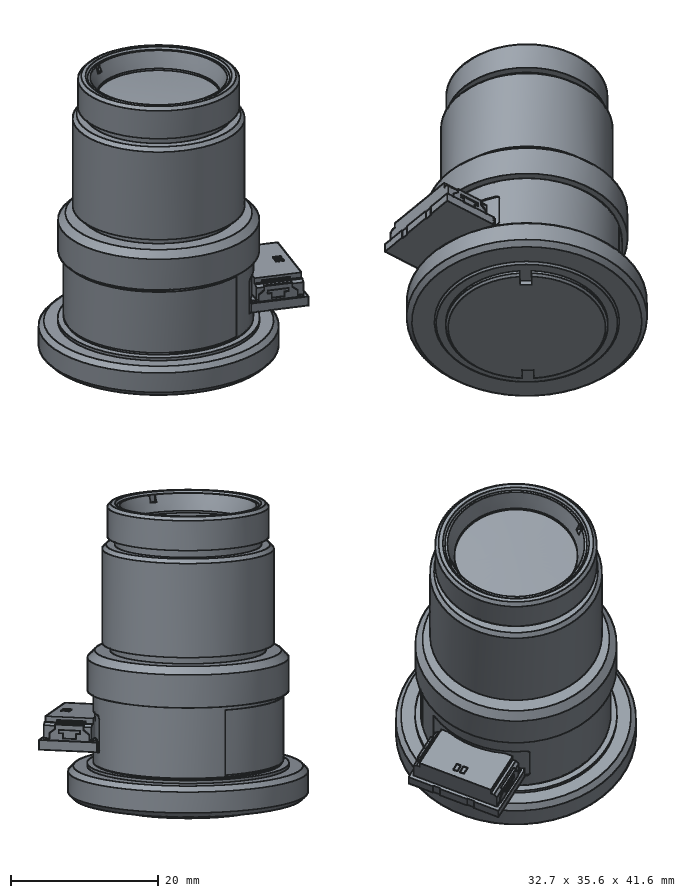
import cadquery as cq
import math

TOTAL_HEIGHT = 41.65
lip_r, lip_top, lip_chamfer = 11.05, 0.75, 0.35
step_r_low, step_r_high, step_top = 12.33, 12.58, 1.1
flange_r, flange_top, flange_chamfer = 16.345, 5.37, 0.7
ring_r, ring_top = 13.75, 5.8
core_r, core_top = 12.7, 15.82
collar_r, collar_top, collar_chamfer = 13.7, 21.35, 1.0
lower_neck_r, lower_neck_top = 10.6, 22.4
barrel_r, barrel_top, barrel_chamfer = 11.7, 35.95, 0.55
upper_neck_r, upper_neck_top = 10.0, 37.05
cap_r, cap_chamfer = 11.0, 0.45

rim_r, ledge_r, seat_r, lens_r = 9.95, 9.65, 9.33, 8.35
ledge_depth, cone_depth, lens_depth, lens_bulge = 0.3, 2.55, 2.85, 0.2

top_notch_angle, top_notch_width, top_notch_depth = 46.0, 0.9, 1.3
top_notch_r_in, top_notch_r_out = 7.9, 9.4
base_notch_angle, base_notch_width, base_notch_floor_r = -39.3, 1.6, 8.95

sleeve_r, sleeve_bottom, sleeve_top, sleeve_corner = 12.9, 5.9, 15.65, 0.3
gap_middle_angle, gap_span = 307.3, 84.0
plate_r, plate_bottom, plate_top, plate_span = 13.0, 6.2, 15.2, 180.0

board_width, board_back, board_front = 13.6, 19.215, 11.08
board_bottom, board_top = 7.9, 9.25
tongue_width = 13.32
board_notch_x, board_notch_width, board_notch_depth = 2.6, 1.05, 0.12
window_width, window_top, window_corner = 14.65, 13.05, 0.4

connector_front, connector_back = 11.95, 18.65
connector_half, shoulder_half, lid_half = 6.35, 5.87, 5.4
shoulder_low, shoulder_high, connector_top = 11.25, 11.58, 12.33
foot_half, foot_front, foot_top = 6.37, 11.25, 9.5
center_y = 15.05
panel_half = 6.45
panel_low_half, panel_high_half = 2.8, 2.0
panel_low, panel_high, panel_top = 10.2, 10.83, 11.4
tee_depth, tee_stem_half, tee_bar_half = 0.15, 0.9, 1.5
tee_bottom, tee_bar_low, tee_top = 9.55, 10.25, 10.7
groove_low, groove_high, groove_depth = 11.65, 11.85, 0.15
mark_y, mark_x, mark_width, mark_length, mark_depth = 17.07, 0.5, 0.62, 1.12, 0.12


def cylinder(radius, bottom, top):
    return cq.Workplane("XY").workplane(offset=bottom).circle(radius).extrude(top - bottom)


def block(x_range, y_range, z_range):
    size = [high - low for low, high in (x_range, y_range, z_range)]
    return cq.Workplane("XY").box(*size, centered=False).translate((x_range[0], y_range[0], z_range[0]))


def sector(middle_angle, span, bottom, top):
    """Wedge about the Z axis, reaching past every part of the body."""
    reach = 2 * flange_r
    steps = 4
    points = [(0, 0)]
    for i in range(steps + 1):
        angle = math.radians(middle_angle + span * (i / steps - 0.5))
        points.append((reach * math.cos(angle), reach * math.sin(angle)))
    return cq.Workplane("XY").workplane(offset=bottom).polyline(points).close().extrude(top - bottom)


def turned_body():
    """Revolved outline, up the outside, down into the lens seat and over the domed lens."""
    outline = [
        (0, 0),
        (lip_r - lip_chamfer, 0),
        (lip_r, lip_chamfer),
        (lip_r, lip_top),
        (step_r_low, lip_top),
        (step_r_high, step_top),
        (flange_r - flange_chamfer, step_top),
        (flange_r, step_top + flange_chamfer),
        (flange_r, flange_top - flange_chamfer),
        (flange_r - flange_chamfer, flange_top),
        (ring_r, flange_top),
        (ring_r, ring_top),
        (core_r, ring_top),
        (core_r, core_top),
        (collar_r, core_top),
        (collar_r, collar_top - collar_chamfer),
        (collar_r - collar_chamfer, collar_top),
        (lower_neck_r, collar_top),
        (lower_neck_r, lower_neck_top),
        (barrel_r, lower_neck_top),
        (barrel_r, barrel_top - barrel_chamfer),
        (barrel_r - barrel_chamfer, barrel_top),
        (upper_neck_r, barrel_top),
        (upper_neck_r, upper_neck_top),
        (cap_r, upper_neck_top),
        (cap_r, TOTAL_HEIGHT - cap_chamfer),
        (cap_r - cap_chamfer, TOTAL_HEIGHT),
        (rim_r, TOTAL_HEIGHT),
        (ledge_r, TOTAL_HEIGHT - ledge_depth),
        (seat_r, TOTAL_HEIGHT - ledge_depth),
        (lens_r, TOTAL_HEIGHT - cone_depth),
        (lens_r, TOTAL_HEIGHT - lens_depth),
    ]
    lens_edge_z = TOTAL_HEIGHT - lens_depth
    lens_sphere_r = (lens_r**2 + lens_bulge**2) / (2 * lens_bulge)
    lens_middle_r = lens_r / 2
    sphere_centre_z = lens_edge_z + lens_bulge - lens_sphere_r
    lens_middle_z = sphere_centre_z + math.sqrt(lens_sphere_r**2 - lens_middle_r**2)
    half_section = (
        cq.Workplane("XZ")
        .polyline(outline)
        .threePointArc((lens_middle_r, lens_middle_z), (0, lens_edge_z + lens_bulge))
        .close()
    )
    return half_section.revolve(360, (0, 0, 0), (0, 1, 0))


def notch_pair(angle, width, r_range, z_range):
    """Two opposite radial notches."""
    notch = block(r_range, (-width / 2, width / 2), z_range)
    first = notch.rotate((0, 0, 0), (0, 0, 1), angle)
    return first.union(first.rotate((0, 0, 0), (0, 0, 1), 180))


def sleeve():
    """Split sleeve with rounded corners at the gap and a window for the board."""
    shell = cylinder(sleeve_r, sleeve_bottom, sleeve_top).cut(cylinder(core_r, sleeve_bottom, sleeve_top))
    shell = shell.cut(sector(gap_middle_angle, gap_span, sleeve_bottom, sleeve_top))
    shell = shell.edges("%LINE").edges("not |Z").fillet(sleeve_corner)
    window = block(
        (-window_width / 2, window_width / 2), (0, 2 * sleeve_r), (board_bottom, window_top)
    ).edges("|Y").fillet(window_corner)
    return shell.cut(window)


def plate():
    """Half-round plate over the sleeve gap."""
    shell = cylinder(plate_r, plate_bottom, plate_top).cut(cylinder(core_r, plate_bottom, plate_top))
    return shell.intersect(sector(gap_middle_angle, plate_span, plate_bottom, plate_top))


def board():
    """Circuit board with a narrower tongue running into the core."""
    half = board_width / 2
    slab = block((-half, half), (board_front, board_back), (board_bottom, board_top))
    for x in (-board_notch_x, board_notch_x):
        slab = slab.cut(
            block(
                (x - board_notch_width / 2, x + board_notch_width / 2),
                (board_back - board_notch_depth, board_back),
                (board_bottom, board_top),
            )
        )
    tongue = block((-tongue_width / 2, tongue_width / 2), (core_r / 2, board_front), (board_bottom, board_top))
    return slab.union(tongue)


def side_profile(points, half_width):
    """Extrude a (Y, Z) outline symmetrically along X."""
    return cq.Workplane("YZ").polyline(points).close().extrude(half_width, both=True)


def connector():
    """Stepped housing with a side panel, a tee recess and a groove on each side."""
    section = [
        (connector_half, board_top),
        (connector_half, shoulder_low),
        (shoulder_half, shoulder_high),
        (lid_half, shoulder_high),
        (lid_half, connector_top),
    ]
    mirrored = [(-x, z) for x, z in reversed(section)]
    housing = (
        cq.Workplane("XZ", origin=(0, connector_back, 0))
        .polyline(section + mirrored)
        .close()
        .extrude(connector_back - connector_front)
    )
    foot = block((-foot_half, foot_half), (foot_front, connector_back), (board_top, foot_top))

    half_panel = [
        (panel_low_half, board_top),
        (panel_low_half, panel_low),
        (panel_high_half, panel_high),
        (panel_high_half, panel_top),
    ]
    half_tee = [
        (tee_stem_half, tee_bottom),
        (tee_stem_half, tee_bar_low),
        (tee_bar_half, tee_bar_low),
        (tee_bar_half, tee_top),
    ]
    panel, tee = [
        [(center_y + y, z) for y, z in half] + [(center_y - y, z) for y, z in reversed(half)]
        for half in (half_panel, half_tee)
    ]
    housing = housing.union(foot).union(side_profile(panel, panel_half))

    for side in (1, -1):
        recess = side_profile(tee, tee_depth).translate((side * panel_half, 0, 0))
        groove = block(
            (-groove_depth, groove_depth),
            (center_y - panel_high_half, center_y + panel_high_half),
            (groove_low, groove_high),
        ).translate((side * lid_half, 0, 0))
        mark = block(
            (-mark_width / 2, mark_width / 2),
            (mark_y - mark_length / 2, mark_y + mark_length / 2),
            (connector_top - mark_depth, connector_top),
        ).translate((side * mark_x, 0, 0))
        housing = housing.cut(recess).cut(groove).cut(mark)
    return housing


top_notches = notch_pair(
    top_notch_angle,
    top_notch_width,
    (top_notch_r_in, top_notch_r_out),
    (TOTAL_HEIGHT - top_notch_depth, TOTAL_HEIGHT),
)
base_notches = notch_pair(
    base_notch_angle, base_notch_width, (base_notch_floor_r, flange_r), (0, lip_top)
)

result = turned_body().cut(top_notches).cut(base_notches)
for feature in (sleeve(), plate(), board(), connector()):
    result = result.union(feature)